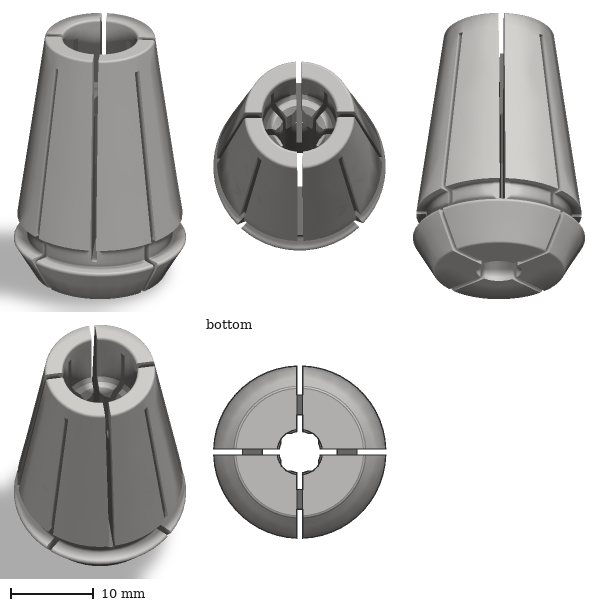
import cadquery as cq
import math

total_height = 31.5
flange_height = 4.75
neck_top = 7.62

flange_radius = 10.4
flange_angle = 30.0
neck_radius = 8.73
taper_large_radius = 10.0
taper_angle = 8.0
edge_fillet = 0.3
neck_fillet = 0.2

shank_radius = 2.75
pilot_radius = 2.5
square_size = 4.55
square_bottom = 15.75
ledge_height = 22.68
countersink_radius = 3.25
countersink_depth = countersink_radius - pilot_radius
relief_radius = 4.5
ledge_radius = 4.03

slit_width = 0.7
slit_length = 25.2
cross_slit_top = 29.45
diagonal_slit_bottom = 5.5


def ring_edges(body, radius, height):
    """Circular edges of a turned body with this radius at this height."""
    tolerance = 0.0003

    def matches(edge):
        right_height = abs(edge.Center().z - height) < tolerance
        return right_height and abs(edge.radius() - radius) < tolerance

    return body.edges("%CIRCLE").filter(matches)


def turned_body():
    """Flange, neck and clamping taper, with rounded edges and neck corners."""
    flange_slope = math.tan(math.radians(flange_angle))
    half_corner = math.radians((90 - flange_angle) / 2)
    rim_radius = flange_radius - edge_fillet + edge_fillet / math.tan(half_corner)
    base_radius = rim_radius - flange_height * flange_slope
    taper_height = total_height - neck_top
    taper_small_radius = taper_large_radius - taper_height * math.tan(math.radians(taper_angle))

    body = (
        cq.Workplane("XZ")
        .moveTo(0, 0)
        .lineTo(base_radius, 0)
        .lineTo(rim_radius, flange_height)
        .lineTo(neck_radius, flange_height)
        .lineTo(neck_radius, neck_top)
        .lineTo(taper_large_radius, neck_top)
        .lineTo(taper_small_radius, total_height)
        .lineTo(0, total_height)
        .close()
        .revolve(360, (0, 0, 0), (0, 1, 0))
    )
    rounded_edges = [
        (base_radius, 0, edge_fillet),
        (rim_radius, flange_height, edge_fillet),
        (taper_small_radius, total_height, edge_fillet),
        (neck_radius, flange_height, neck_fillet),
        (neck_radius, neck_top, neck_fillet),
    ]
    for radius, height, fillet in rounded_edges:
        body = ring_edges(body, radius, height).fillet(fillet)
    return body


def disc(radius, bottom, top):
    """Cylinder on the part axis between two heights."""
    return cq.Workplane("XY").workplane(offset=bottom).circle(radius).extrude(top - bottom)


def relief_bore():
    """Relief bore with a bevelled floor and a 45 degree countersink below it."""
    countersink_bottom = ledge_height - countersink_depth
    bevel_top = ledge_height + relief_radius - ledge_radius
    return (
        cq.Workplane("XZ")
        .moveTo(0, countersink_bottom)
        .lineTo(pilot_radius, countersink_bottom)
        .lineTo(countersink_radius, ledge_height)
        .lineTo(ledge_radius, ledge_height)
        .lineTo(relief_radius, bevel_top)
        .lineTo(relief_radius, total_height)
        .lineTo(0, total_height)
        .close()
        .revolve(360, (0, 0, 0), (0, 1, 0))
    )


def cut_bores(body):
    """Cut the shank hole, the square drive and the relief bore."""
    square_length = ledge_height - square_bottom
    square_drive = (
        cq.Workplane("XY")
        .workplane(offset=square_bottom)
        .rect(square_size, square_size)
        .extrude(square_length)
    )
    body = body.cut(disc(shank_radius, 0, square_bottom))
    body = body.cut(square_drive)
    body = body.cut(disc(pilot_radius, square_bottom, ledge_height - countersink_depth))
    body = body.cut(relief_bore())
    return ring_edges(body, relief_radius, total_height).fillet(edge_fillet)


def slit(angle, bottom, top):
    """Slit through the whole diameter between two heights, turned about Z."""
    return (
        cq.Workplane("XY")
        .workplane(offset=bottom)
        .rect(slit_length, slit_width)
        .extrude(top - bottom)
        .rotate((0, 0, 0), (0, 0, 1), angle)
    )


result = cut_bores(turned_body())
for angle in (0, 90):
    result = result.cut(slit(angle, 0, cross_slit_top))
    result = result.cut(slit(angle + 45, diagonal_slit_bottom, total_height))